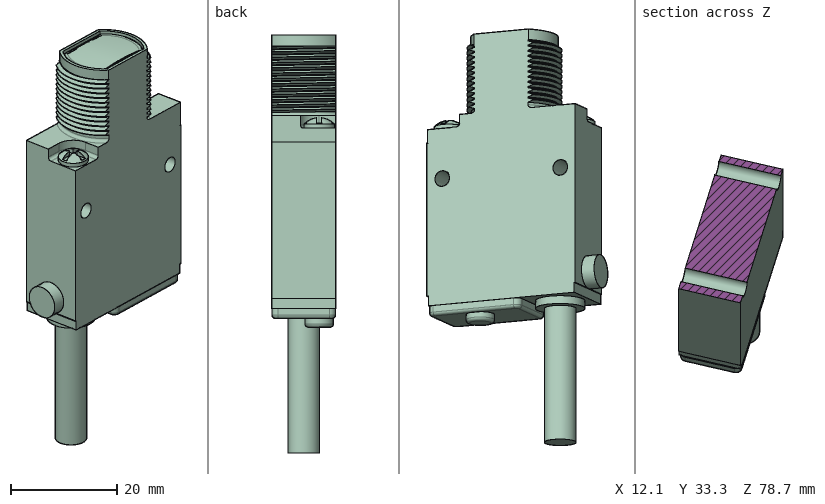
import cadquery as cq
import math


width = 12.1
head_length = 30.55
body_back = 15.4
base_length = 30.15
base_bottom = 27.25
body_bottom = 29.1
head_bottom = 58.6
shoulder_top = 63.5

hole_diameter = 3.0
hole_half_spacing = 12.2
hole_height = 51.5

neck_top = 78.7
neck_radius = 8.3
neck_root_fillet = 0.6
flare_top = shoulder_top + neck_root_fillet

pitch = 1.0
thread_root_radius = 8.2
thread_radius = 9.0
thread_base_width = 0.985
thread_crest_width = 0.1
thread_start = 64.4
thread_end = 76.7
thread_embed = 0.15

recess_radius = 7.6
recess_width = 10.9
recess_depth = 0.8
recess_gap = 0.2
window_drop = 0.5
lens_radius = 6.8
lens_width = 9.3
lens_rise = 0.5

screw_x = 2.9
screw_y = 12.2
screw_radius = 2.8
screw_rim_height = 0.8
screw_dome_rise = 1.25
screw_slot_width = 0.95
screw_slot_floor = 62.2
pocket_radius = 3.55
pocket_floor = 61.2
pocket_floor_fillet = 0.6

button_radius = 3.15
button_height = 32.2
button_end = -17.9

cable_y = -9.45
cable_radius = 3.0
collar_radius = 4.65
collar_bottom = 25.75

plate_back = 15.3
plate_front = -3.7
plate_width = 12.0
plate_bottom = 25.35
plate_corner_radius = 1.2
plate_edge_fillet = 0.6
plate_screw_x = -2.9
plate_screw_y = 5.75
plate_screw_radius = 2.7
plate_screw_bottom = 23.7
plate_screw_fillet = 0.6


def block(x_size, y_min, y_max, z_min, z_max):
    """Box centred on X between the given Y and Z limits."""
    return (
        cq.Workplane("XY", origin=(0, (y_min + y_max) / 2, z_min))
        .box(x_size, y_max - y_min, z_max - z_min, centered=(True, True, False))
    )


def cylinder(x, y, radius, z_min, z_max):
    """Upright cylinder between two heights."""
    return cq.Workplane("XY", origin=(x, y, z_min)).circle(radius).extrude(z_max - z_min)


def flattened_disc(radius, flat_width, z_min, z_max):
    """Cylinder on the neck axis with two flats facing -X and +X."""
    flats = block(flat_width, -radius, radius, z_min, z_max)
    return cylinder(0, 0, radius, z_min, z_max).intersect(flats)


def half_turn(shape):
    """The same shape turned 180 degrees about the neck axis."""
    return shape.rotate((0, 0, 0), (0, 0, 1), 180)


def sphere_radius(base_radius, rise):
    """Radius of the sphere whose cap has the given base radius and rise."""
    return (base_radius**2 + rise**2) / (2 * rise)


def housing():
    half_head = head_length / 2
    half_base = base_length / 2
    head = block(width, -half_head, half_head, head_bottom, shoulder_top)
    body = block(width, -half_head, body_back, body_bottom, head_bottom)
    base = block(width, -half_base, half_base, base_bottom, body_bottom)
    holes = (
        cq.Workplane("YZ", origin=(-width / 2, 0, hole_height))
        .pushPoints([(-hole_half_spacing, 0), (hole_half_spacing, 0)])
        .circle(hole_diameter / 2)
        .extrude(width)
    )
    return head.union(body).union(base).cut(holes)


def threaded_section():
    """Flattened threaded length of the neck, with a right-handed ridge.

    The ridge starts on the +X side, which the flats remove.
    """
    base_radius = thread_root_radius - thread_embed
    half_base = thread_base_width / 2
    half_crest = thread_crest_width / 2
    helix_height = thread_end - thread_start + pitch
    path = cq.Wire.makeHelix(pitch, helix_height, base_radius)
    ridge = (
        cq.Workplane("XZ")
        .polyline([
            (base_radius, -half_base),
            (thread_radius, -half_crest),
            (thread_radius, half_crest),
            (base_radius, half_base),
        ])
        .close()
        .sweep(cq.Workplane(obj=path), isFrenet=True)
        .translate((0, 0, thread_start))
    )
    core = cylinder(0, 0, thread_root_radius, flare_top, thread_end + 2 * pitch)
    core = half_turn(core)
    trim = block(width, -2 * thread_radius, 2 * thread_radius, flare_top, thread_end)
    return core.union(ridge, clean=False).intersect(trim)


def lens_recess():
    return flattened_disc(recess_radius, recess_width, neck_top - recess_depth, neck_top)


def lens_window():
    window_top = neck_top - window_drop
    window = flattened_disc(
        recess_radius - recess_gap, recess_width - 2 * recess_gap, neck_top - recess_depth, window_top
    )
    lens_top = window_top + lens_rise
    curvature = sphere_radius(lens_radius, lens_rise)
    sphere = cq.Workplane("XY", origin=(0, 0, lens_top - curvature)).sphere(curvature, direct=cq.Vector(0, 1, 0))
    lens = flattened_disc(lens_radius, lens_width, window_top, lens_top).intersect(sphere)
    return window.union(lens)


def neck_root():
    """Lowest length of the neck, flaring out with a fillet onto the shoulder."""
    flare_radius = thread_root_radius + neck_root_fillet
    root = (
        cq.Workplane("XZ")
        .moveTo(0, shoulder_top)
        .lineTo(flare_radius, shoulder_top)
        .radiusArc((thread_root_radius, flare_top), neck_root_fillet)
        .lineTo(0, flare_top)
        .close()
        .revolve(360, (0, 0, 0), (0, 1, 0))
    )
    return root.intersect(block(width, -flare_radius, flare_radius, shoulder_top, flare_top))


def neck_cap():
    cap = flattened_disc(neck_radius, width, thread_end, neck_top)
    return cap.cut(lens_recess()).union(lens_window())


def screw_pocket():
    """Corner pocket in the shoulder around the screw at (-screw_x, +screw_y)."""
    overrun = 7.9
    depth = shoulder_top - pocket_floor
    size = pocket_radius + overrun
    return (
        cq.Workplane("XY", origin=(-screw_x + pocket_radius, screw_y - pocket_radius, pocket_floor))
        .box(size, size, depth, centered=(False, False, False))
        .translate((-size, 0, 0))
        .edges("|Z and >X and <Y")
        .fillet(pocket_radius)
        .faces("<Z")
        .edges()
        .fillet(pocket_floor_fillet)
    )


def cover_screw():
    """Domed screw with a cross slot at (-screw_x, +screw_y)."""
    screw_height = screw_rim_height + screw_dome_rise
    screw = (
        cq.Workplane("XZ")
        .lineTo(screw_radius, 0)
        .lineTo(screw_radius, screw_rim_height)
        .radiusArc((0, screw_height), -sphere_radius(screw_radius, screw_dome_rise))
        .close()
        .revolve(360, (0, 0, 0), (0, 1, 0))
        .translate((-screw_x, screw_y, pocket_floor))
    )
    slot_length = 3 * screw_radius
    slot_depth = pocket_floor + screw_height - screw_slot_floor
    slots = cq.Workplane("XY", origin=(-screw_x, screw_y, screw_slot_floor))
    cross = slots.rect(slot_length, screw_slot_width).extrude(slot_depth)
    cross = cross.union(slots.rect(screw_slot_width, slot_length).extrude(slot_depth))
    return screw.cut(cross)


def button():
    front = -head_length / 2
    return (
        cq.Workplane("XZ", origin=(0, front, button_height))
        .circle(button_radius)
        .extrude(front - button_end)
    )


def cable():
    collar = cylinder(0, cable_y, collar_radius, collar_bottom, base_bottom)
    return collar.union(cylinder(0, cable_y, cable_radius, 0, collar_bottom))


def bottom_plate():
    plate = (
        block(plate_width, plate_front, plate_back, plate_bottom, base_bottom)
        .edges("|Z")
        .fillet(plate_corner_radius)
        .faces("<Z")
        .edges()
        .fillet(plate_edge_fillet)
    )
    screw = (
        cylinder(plate_screw_x, plate_screw_y, plate_screw_radius, plate_screw_bottom, plate_bottom)
        .faces("<Z")
        .edges()
        .fillet(plate_screw_fillet)
    )
    return plate.union(screw)


result = housing()
for corner_pocket in (screw_pocket(), half_turn(screw_pocket())):
    result = result.cut(corner_pocket)
for addition in (
    neck_root(),
    threaded_section(),
    neck_cap(),
    cover_screw(),
    half_turn(cover_screw()),
    button(),
    cable(),
    bottom_plate(),
):
    result = result.union(addition)